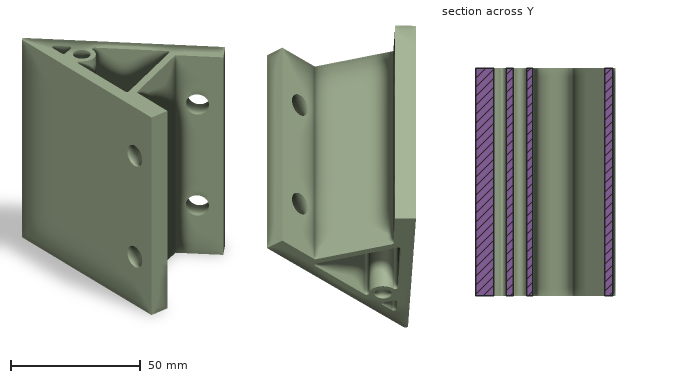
import cadquery as cq
import math

height = 88.0
arm_angle = 45.0
arm_length = 80.0
arm_thickness = 8.0
wall_thickness = 5.0
corner_radius = 1.0

strut_outer_distance = 59.8
strut_thickness = 3.0
bore_distance = 27.5
small_hollow_end = 21.65

bore_diameter = 6.8
boss_diameter = 10.8

mount_hole_diameter = 9.0
mount_hole_end_distance = 10.0
mount_hole_spacing = 45.0

half_angle = math.radians(arm_angle / 2)

bore_along = bore_distance * math.cos(half_angle)
bore_height = bore_distance * math.sin(half_angle)


def wedge(inset, end_distance):
    """Prism between the arms, inset from their outer faces and cut off square to the bisector."""
    start_distance = inset / math.sin(half_angle)
    half_width = (end_distance - start_distance) * math.tan(half_angle)
    return (
        cq.Workplane("XY")
        .moveTo(start_distance, 0)
        .lineTo(end_distance, -half_width)
        .lineTo(end_distance, half_width)
        .close()
        .extrude(height)
        .rotate((0, 0, 0), (0, 0, 1), arm_angle / 2)
    )


def bore():
    """Full-height hole along Z, on the bisector."""
    return (
        cq.Workplane("XY")
        .center(bore_along, bore_height)
        .circle(bore_diameter / 2)
        .extrude(height)
    )


def wall_point(along, height_above, side):
    """Point given along and above an arm's outer face, in axes with X along the bisector.

    side is -1 for the arm along X and 1 for the sloping arm.
    """
    cosine = math.cos(half_angle)
    sine = math.sin(half_angle)
    return (
        along * cosine + height_above * sine,
        side * (along * sine - height_above * cosine),
    )


def large_hollow():
    """Hollow between the bore boss and the strut, with a round nook where the boss nears each wall."""
    boss_radius = boss_diameter / 2

    nook_height = wall_thickness + corner_radius
    center_spacing = boss_radius + corner_radius
    nook_along = bore_along + math.sqrt(center_spacing**2 - (bore_height - nook_height) ** 2)
    wall_direction = math.radians(270)
    boss_direction = math.atan2(bore_height - nook_height, bore_along - nook_along)
    middle_direction = (wall_direction + boss_direction) / 2

    def nook_point(direction, side):
        return wall_point(
            nook_along + corner_radius * math.cos(direction),
            nook_height + corner_radius * math.sin(direction),
            side,
        )

    def nook_points(side):
        """Points of the nook arc, from the wall to the boss."""
        directions = (wall_direction, middle_direction, boss_direction)
        return [nook_point(direction, side) for direction in directions]

    lower_wall, lower_middle, lower_boss = nook_points(-1)
    upper_wall, upper_middle, upper_boss = nook_points(1)

    strut_inner_distance = strut_outer_distance - strut_thickness
    half_width = strut_inner_distance * math.tan(half_angle) - wall_thickness / math.cos(half_angle)
    return (
        cq.Workplane("XY")
        .moveTo(*upper_wall)
        .threePointArc(upper_middle, upper_boss)
        .threePointArc((bore_distance + boss_radius, 0), lower_boss)
        .threePointArc(lower_middle, lower_wall)
        .lineTo(strut_inner_distance, -half_width)
        .lineTo(strut_inner_distance, half_width)
        .close()
        .extrude(height)
        .edges("|Z and >X")
        .fillet(corner_radius)
        .rotate((0, 0, 0), (0, 0, 1), arm_angle / 2)
    )


def as_second_arm(first_arm_shape):
    """Mirror a shape of the arm along X across the bisector, onto the sloping arm."""
    return first_arm_shape.mirror("XZ").rotate((0, 0, 0), (0, 0, 1), arm_angle)


def arm():
    """Flat plate along X; its inner face is mitred to the apex so it stays between the arms."""
    miter_length = arm_thickness / math.tan(math.radians(arm_angle))
    return (
        cq.Workplane("XY")
        .lineTo(arm_length, 0)
        .lineTo(arm_length, arm_thickness)
        .lineTo(miter_length, arm_thickness)
        .close()
        .extrude(height)
    )


def mount_holes():
    """Pair of holes straight through the end of the arm along X."""
    return (
        cq.Workplane("XZ", origin=(arm_length - mount_hole_end_distance, 0, height / 2))
        .rarray(0.9, mount_hole_spacing, 1, 2)
        .circle(mount_hole_diameter / 2)
        .extrude(-arm_thickness)
    )


body = arm().union(as_second_arm(arm())).union(wedge(0, strut_outer_distance))
body = body.edges(cq.NearestToPointSelector((0, 0, height / 2))).fillet(corner_radius)

small_hollow = wedge(wall_thickness, small_hollow_end).edges("|Z").fillet(corner_radius)

result = (
    body.cut(small_hollow)
    .cut(large_hollow())
    .cut(bore())
    .cut(mount_holes())
    .cut(as_second_arm(mount_holes()))
)